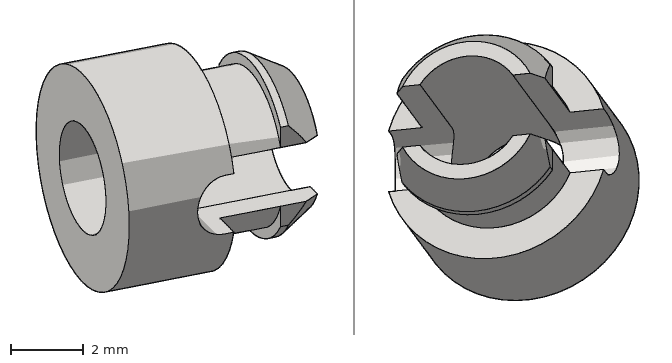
import cadquery as cq
import math

head_diameter = 6.4
head_length = 3.2
total_length = 6.25
bore_diameter = 3.2
neck_diameter = 4.595
lip_diameter = 5.215
lip_band_length = 0.24
taper_length = 1.0
taper_angle = 30.0
slot_width = 1.8
slot_depth = 4.2

taper_start = total_length - taper_length
lip_start = taper_start - lip_band_length
tip_radius = lip_diameter / 2 - taper_length * math.tan(math.radians(taper_angle))
flat_offset = math.sqrt((neck_diameter / 2) ** 2 - (slot_width / 2) ** 2)


def make_head():
    return cq.Workplane("XZ").circle(head_diameter / 2).extrude(-head_length)


def make_snap_tail():
    """Neck and tapered snap lip, with flats on the two slotted sides."""
    tail = (
        cq.Workplane("XY")
        .moveTo(0, 0)
        .lineTo(neck_diameter / 2, 0)
        .lineTo(neck_diameter / 2, lip_start)
        .lineTo(lip_diameter / 2, lip_start)
        .lineTo(lip_diameter / 2, taper_start)
        .lineTo(tip_radius, total_length)
        .lineTo(0, total_length)
        .close()
        .revolve(360, (0, 0, 0), (0, 1, 0))
    )
    flats = cq.Workplane("XZ").rect(2 * flat_offset, lip_diameter).extrude(-total_length)
    return tail.intersect(flats)


def make_bore():
    return cq.Workplane("XZ").circle(bore_diameter / 2).extrude(-total_length)


def make_slot():
    """Round-ended slot through both sides along X, open at the tail end."""
    half_width = slot_width / 2
    slot_bottom = total_length - slot_depth
    arc_center = slot_bottom + half_width
    return (
        cq.Workplane("YZ")
        .moveTo(total_length, -half_width)
        .lineTo(arc_center, -half_width)
        .threePointArc((slot_bottom, 0), (arc_center, half_width))
        .lineTo(total_length, half_width)
        .close()
        .extrude(head_diameter / 2, both=True)
    )


result = make_head().union(make_snap_tail()).cut(make_bore()).cut(make_slot())